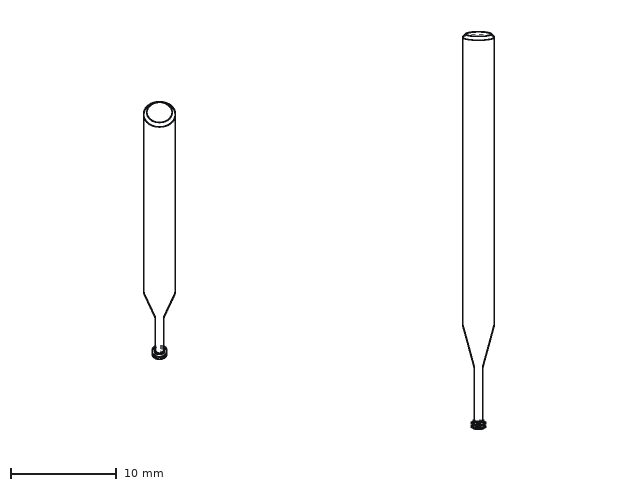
import cadquery as cq
import math

total_length = 38.0
shank_radius = 3.0 / 2
shank_chamfer = 0.3

neck_radius = 0.85 / 2
taper_end = 5.93
taper_half_angle = math.radians(15)
neck_fillet_radius = 1.0

tooth_radius = 1.4 / 2
core_radius = 1.0 / 2
head_height = 0.75
tooth_count = 2
tooth_pitch = 0.35
crest_width = 0.05
flank_angle = math.radians(30)
tip_radius = neck_radius
lowest_crest = (tooth_radius - tip_radius) * math.tan(flank_angle)
flank_height = (tooth_radius - core_radius) * math.tan(flank_angle)

shank_bottom = taper_end + (shank_radius - neck_radius) / math.tan(taper_half_angle)
tangent_length = neck_fillet_radius * math.tan(taper_half_angle / 2)


def fillet_point(angle):
    """Point of the neck fillet where its slope is the given angle from the axis."""
    radius = neck_radius + neck_fillet_radius * (1 - math.cos(angle))
    height = taper_end - tangent_length + neck_fillet_radius * math.sin(angle)
    return (radius, height)


def add_teeth(profile):
    """Continue the half profile up the core, around each tooth.

    The lowest flank starts directly at the tip face.
    """
    for index in range(tooth_count):
        crest = lowest_crest + index * tooth_pitch
        if index > 0:
            profile = profile.lineTo(core_radius, crest - flank_height)
        profile = profile.lineTo(tooth_radius, crest)
        profile = profile.lineTo(tooth_radius, crest + crest_width)
        profile = profile.lineTo(core_radius, crest + crest_width + flank_height)
    return profile


half_profile = cq.Workplane("XZ").lineTo(tip_radius, 0)
half_profile = add_teeth(half_profile)
half_profile = (
    half_profile
    .lineTo(core_radius, head_height)
    .lineTo(neck_radius, head_height)
    .lineTo(*fillet_point(0))
    .threePointArc(fillet_point(taper_half_angle / 2), fillet_point(taper_half_angle))
    .lineTo(shank_radius, shank_bottom)
    .lineTo(shank_radius, total_length - shank_chamfer)
    .lineTo(shank_radius - shank_chamfer, total_length)
    .lineTo(0, total_length)
    .close()
)

result = half_profile.revolve(360, (0, 0, 0), (0, 1, 0))